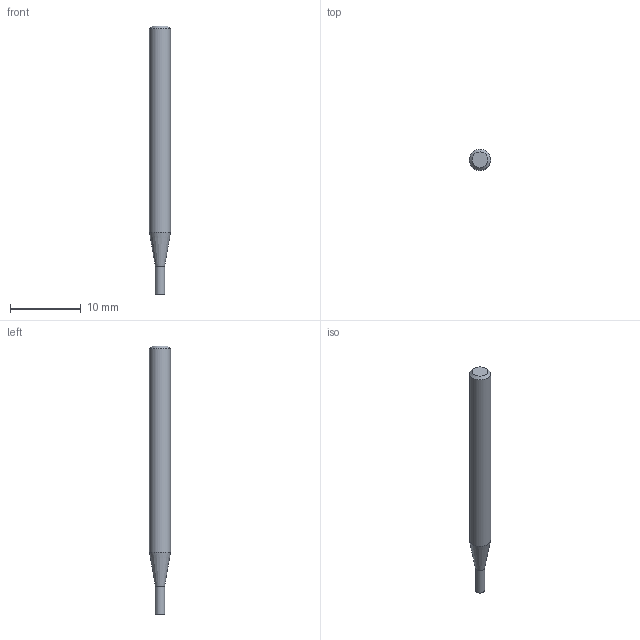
import cadquery as cq
import math

shank_diameter = 3.0
total_length = 38.0

tip_diameter = 1.3
tip_length = 3.9
taper_half_angle = 10.0

end_chamfer = 0.38

shank_radius = shank_diameter / 2
tip_radius = tip_diameter / 2
taper_length = (shank_radius - tip_radius) / math.tan(math.radians(taper_half_angle))
shank_start = tip_length + taper_length


def turned_blank():
    """Tip, taper and shank revolved about Z, with the tip face at Z = 0."""
    half_profile = (
        cq.Workplane("XZ")
        .lineTo(-tip_radius, 0)
        .lineTo(-tip_radius, tip_length)
        .lineTo(-shank_radius, shank_start)
        .lineTo(-shank_radius, total_length)
        .lineTo(0, total_length)
        .close()
    )
    return half_profile.revolve(360, (0, 0), (0, 1))


def bevel_shank_end(body):
    """Chamfer the rim of the flat face at the top of the shank."""
    return body.faces(">Z").chamfer(end_chamfer)


result = bevel_shank_end(turned_blank())